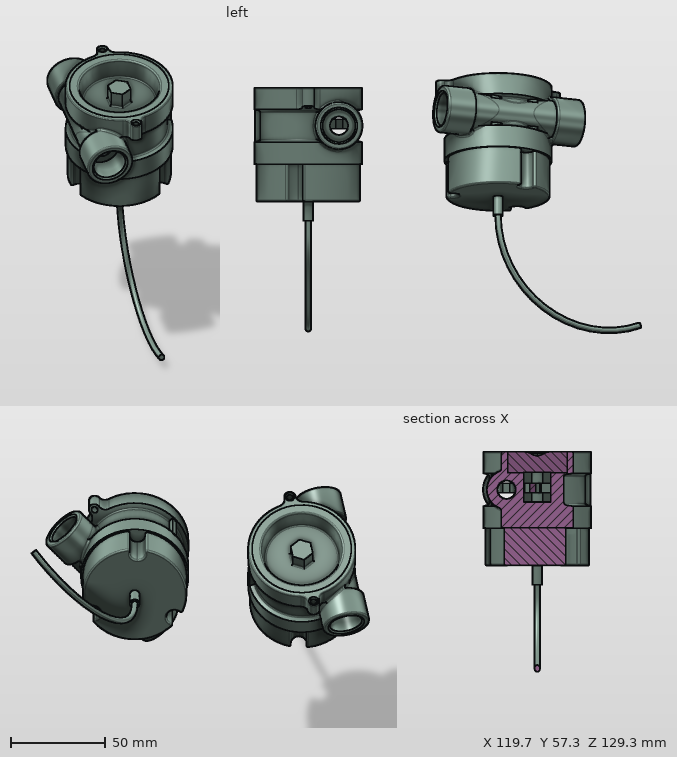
import cadquery as cq
import math


top_z = 20.2
flange_bottom_z = -20.35
flange_radius = 28.5
flange_edge_fillet = 0.5

groove_radius = 25.5
groove_half_height = 8.7
groove_slope = 0.3
groove_floor_fillet = 1.0
rib_width = 2.5
rib_radius = 28.2
pad_width = 26.2
pad_face_y = -24.4

lug_offset = 31.9
lug_radius = 3.1
lug_blend = 4.0
lug_hole_radius = 1.6
lug_countersink_radius = 2.5
lug_reach = lug_offset + lug_radius

pipe_y = -16.3
neck_radius = 10.5
socket_radius = 12.5
socket_end_x = 38.75
socket_length = 15.65
shoulder_x = socket_end_x - socket_length
socket_end_fillet = 0.9
socket_shoulder_fillet = 0.8
socket_bore_radius = 8.7
socket_bore_depth = 14.0
socket_bore_chamfer = 1.0
flow_bore_radius = 4.8
pipe_blend = 1.2

chamber_radius = 22.3
chamber_floor_z = -6.5

lid_radius = 26.3
lid_floor_depth = 9.8
lid_floor_thickness = 1.2
lid_height = lid_floor_depth + lid_floor_thickness
lid_bottom_z = top_z - lid_height
cup_top_radius = 21.6
cup_floor_radius = 19.5
cup_rim_fillet = 1.0
cup_floor_fillet = 0.8
hex_across_corners = 12.4
hex_recess = 1.0
hex_base_fillet = 0.8

rotor_radius = 21.5
rotor_hub_radius = 10.0
rotor_shaft_radius = 3.0
blade_bottom_z = -1.7
blade_top_z = 3.55
blade_thickness = 6.0
blade_count = 9
first_blade_angle = 270

cap_radius = 27.5
cap_bottom_z = -40.2
cap_edge_fillet = 0.9
slot_angles = (45, 165, 285)
slot_width = 8.2
slot_floor_radius = 20.9
slot_floor_fillet = 4.05
slot_mouth_fillet = 1.0
sleeve_radius = 2.6
sleeve_bottom_z = -50.35
cable_radius = 1.55
cable_bend_radius = 57.18
cable_sweep_angle = 113.9

tolerance = 0.001


def cylinder_z(radius, bottom, top):
    return cq.Workplane("XY").workplane(offset=bottom).circle(radius).extrude(top - bottom)


def cylinder_x(radius, start, end):
    """Cylinder along the flow pipe's axis."""
    return cq.Workplane("YZ", origin=(start, pipe_y, 0)).circle(radius).extrude(end - start)


def flanged_hub():
    """Two flanges with a groove between them; the upper flange carries the lugs."""
    upper = cylinder_z(flange_radius, 0, top_z)
    for side in (-1, 1):
        upper = upper.union(mounting_lug(side))
    upper = upper.faces(">Z").edges().fillet(flange_edge_fillet)
    top_trim = cylinder_z(lug_reach, top_z - flange_edge_fillet, top_z)
    flanges = drum_with_pipe(flange_radius, True).cut(top_trim).union(upper)
    flanges = flanges.cut(groove().cut(flow_pipe()))
    core_region = cylinder_z(flange_radius, -groove_half_height, groove_half_height)
    core = drum_with_pipe(groove_radius, False).intersect(core_region)
    return flanges.union(core)


def mounting_lug(side):
    """Round lug, joined to the flange by a web with concave sides tangent to both."""
    hub_distance = flange_radius + lug_blend
    lug_distance = lug_radius + lug_blend
    blend_x = (lug_offset**2 + hub_distance**2 - lug_distance**2) / (2 * lug_offset)
    blend_y = math.sqrt(hub_distance**2 - blend_x**2)
    hub_x = blend_x * flange_radius / hub_distance
    hub_y = blend_y * flange_radius / hub_distance
    lug_x = lug_offset + (blend_x - lug_offset) * lug_radius / lug_distance
    lug_y = blend_y * lug_radius / lug_distance
    web = (
        cq.Workplane("XY")
        .moveTo(0, 0)
        .lineTo(hub_x, -hub_y)
        .radiusArc((lug_x, -lug_y), lug_blend)
        .threePointArc((lug_reach, 0), (lug_x, lug_y))
        .radiusArc((hub_x, hub_y), lug_blend)
        .close()
        .extrude(top_z)
    )
    return web if side > 0 else web.mirror("YZ")


def groove():
    """Ring with sloped sides, wide enough to shape the underside of the lugs too."""
    outer_radius = lug_reach + 1
    inner_half = groove_half_height - groove_slope * (flange_radius - groove_radius)
    outer_half = groove_half_height + groove_slope * (outer_radius - flange_radius)
    profile = [
        (groove_radius, -inner_half),
        (outer_radius, -outer_half),
        (outer_radius, outer_half),
        (groove_radius, inner_half),
    ]
    ring = cq.Workplane("XZ").polyline(profile).close().revolve(360, (0, 0, 0), (0, 1, 0))
    floor_edges = cq.selectors.RadiusNthSelector(0)
    return ring.edges("%CIRCLE").edges(floor_edges).fillet(groove_floor_fillet)


def groove_rib():
    """Web that joins the two flanges on the +Y side."""
    rib = cq.Workplane("XY").box(rib_width, rib_radius, 2 * groove_half_height)
    return rib.translate((0, rib_radius / 2, 0))


def groove_pad():
    """Flat-faced thickening of the groove's wall behind the pipe."""
    pad = cq.Workplane("XY").box(pad_width, -pad_face_y, 2 * groove_half_height)
    return pad.translate((0, pad_face_y / 2, 0))


def flow_pipe():
    """Solid neck with a thicker socket at each end."""
    pipe = cylinder_x(neck_radius, -shoulder_x, shoulder_x)
    socket = cylinder_x(socket_radius, shoulder_x, socket_end_x)
    socket = socket.faces(">X").edges().fillet(socket_end_fillet)
    return pipe.union(socket).union(socket.mirror("YZ"))


def drum_with_pipe(radius, round_shoulders):
    """Round drum crossed by the flow pipe, with a fillet where they meet."""
    body = cylinder_z(radius, flange_bottom_z, top_z).union(flow_pipe()).val()
    if round_shoulders:
        rims = [edge for edge in body.Edges() if lies_on_shoulder_rim(edge)]
        body = body.fillet(socket_shoulder_fillet, rims)
    seams = [edge for edge in body.Edges() if lies_on_drum(edge, radius)]
    return cq.Workplane(body.fillet(pipe_blend, seams))


def lies_on_drum(edge, radius):
    """True for edges that follow the drum's wall away from its two ends."""
    points = [edge.positionAt(t) for t in (0, 0.5, 1)]
    on_wall = all(abs(math.hypot(p.x, p.y) - radius) < tolerance for p in points)
    return on_wall and all(abs(p.z) < socket_radius + tolerance for p in points)


def lies_on_shoulder_rim(edge):
    """True for edges on the outer rim of a socket's inner end."""
    points = [edge.positionAt(t) for t in (0.2, 0.5, 0.8)]
    return all(
        abs(abs(p.x) - shoulder_x) < tolerance
        and abs(math.hypot(p.y - pipe_y, p.z) - socket_radius) < tolerance
        for p in points
    )


def socket_bore(side):
    """Blind bore of a socket with a chamfered mouth."""
    bore = cylinder_x(socket_bore_radius, socket_end_x - socket_bore_depth, socket_end_x)
    mouth = (
        cq.Workplane("YZ", origin=(socket_end_x - socket_bore_chamfer, pipe_y, 0))
        .circle(socket_bore_radius)
        .workplane(offset=socket_bore_chamfer)
        .circle(socket_bore_radius + socket_bore_chamfer)
        .loft()
    )
    bore = bore.union(mouth)
    return bore if side > 0 else bore.mirror("YZ")


def lug_hole(side):
    """Countersunk through hole of a lug."""
    sink_depth = lug_countersink_radius - lug_hole_radius
    hole = cylinder_z(lug_hole_radius, 0, top_z)
    sink = (
        cq.Workplane("XY", origin=(0, 0, top_z - sink_depth))
        .circle(lug_hole_radius)
        .workplane(offset=sink_depth)
        .circle(lug_countersink_radius)
        .loft()
    )
    return hole.union(sink).translate((side * lug_offset, 0, 0))


def make_housing():
    body = flanged_hub().union(groove_rib()).union(groove_pad())
    body = body.cut(cylinder_z(lid_radius, lid_bottom_z, top_z))
    body = body.cut(cylinder_z(chamber_radius, chamber_floor_z, lid_bottom_z))
    body = body.cut(cylinder_x(flow_bore_radius, -socket_end_x, socket_end_x))
    for side in (-1, 1):
        body = body.cut(socket_bore(side)).cut(lug_hole(side))
    return body


def make_lid():
    """Disc with a tapered cup and a hexagon standing on the cup's floor."""
    floor_z = top_z - lid_floor_depth
    cup = (
        cq.Workplane("XY", origin=(0, 0, floor_z))
        .circle(cup_floor_radius)
        .workplane(offset=lid_floor_depth)
        .circle(cup_top_radius)
        .loft()
    )
    cup = cup.faces("<Z").edges().fillet(cup_floor_fillet)
    lid = cylinder_z(lid_radius, lid_bottom_z, top_z).cut(cup)
    rim = cq.selectors.RadiusNthSelector(0)
    lid = lid.faces(">Z").edges(rim).fillet(cup_rim_fillet)
    hexagon = (
        cq.Workplane("XY", origin=(0, 0, floor_z))
        .polygon(6, hex_across_corners)
        .extrude(lid_floor_depth - hex_recess)
    )
    lid = lid.union(hexagon)
    margin = hex_across_corners
    base = cq.selectors.BoxSelector((-margin, -margin, floor_z - 0.1), (margin, margin, floor_z + 0.1))
    base_edges = lid.edges(base).edges("%LINE")
    return base_edges.fillet(hex_base_fillet)


def make_rotor():
    """Bladed wheel whose shaft runs from the chamber's floor to the lid."""
    rotor = cylinder_z(rotor_hub_radius, blade_bottom_z, blade_top_z)
    rotor = rotor.union(cylinder_z(rotor_shaft_radius, chamber_floor_z, lid_bottom_z))
    blade_height = blade_top_z - blade_bottom_z
    blade = cq.Workplane("XY").box(rotor_radius, blade_thickness, blade_height)
    blade = blade.translate((rotor_radius / 2, 0, (blade_top_z + blade_bottom_z) / 2))
    for i in range(blade_count):
        angle = first_blade_angle + i * 360 / blade_count
        rotor = rotor.union(blade.rotate((0, 0, 0), (0, 0, 1), angle))
    return rotor


def cap_slot(angle):
    """Slot with a rounded floor, open to the outside of the cap."""
    length = cap_radius - slot_floor_radius + 1
    height = flange_bottom_z - cap_bottom_z
    slot = cq.Workplane("XY").box(length, slot_width, height).edges("<X and |Z").fillet(slot_floor_fillet)
    slot = slot.translate((slot_floor_radius + length / 2, 0, cap_bottom_z + height / 2))
    return slot.rotate((0, 0, 0), (0, 0, 1), angle)


def make_sensor_cap():
    cap = cylinder_z(cap_radius, cap_bottom_z, flange_bottom_z)
    mouth_angle = math.degrees(math.asin(slot_width / 2 / cap_radius))
    middle_z = (cap_bottom_z + flange_bottom_z) / 2
    for angle in slot_angles:
        cap = cap.cut(cap_slot(angle))
        for corner_angle in (angle - mouth_angle, angle + mouth_angle):
            a = math.radians(corner_angle)
            point = (cap_radius * math.cos(a), cap_radius * math.sin(a), middle_z)
            cap = cap.edges(cq.selectors.NearestToPointSelector(point)).fillet(slot_mouth_fillet)
    cap = cap.faces("<Z").edges().fillet(cap_edge_fillet)
    cap = cap.union(cylinder_z(sleeve_radius, sleeve_bottom_z, cap_bottom_z))
    return cap.union(make_cable())


def make_cable():
    """Round cable bent around a centre level with the sleeve's lower end."""
    section = cq.Workplane("XY", origin=(0, 0, sleeve_bottom_z)).circle(cable_radius)
    return section.revolve(cable_sweep_angle, (cable_bend_radius, 0, 0), (cable_bend_radius, -1, 0))


housing = make_housing()
lid = make_lid()
rotor = make_rotor()
sensor_cap = make_sensor_cap()

result = cq.Compound.makeCompound([housing.val(), lid.val(), rotor.val(), sensor_cap.val()])